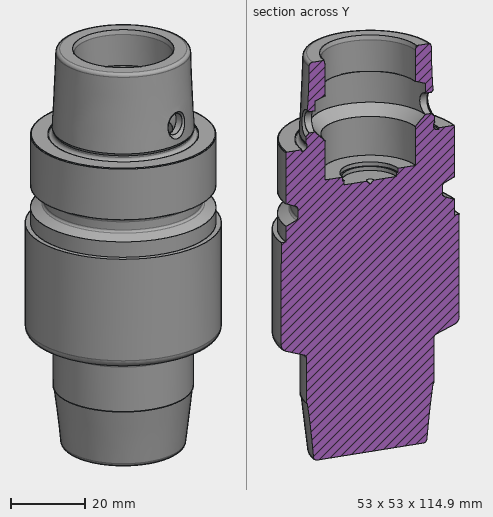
import cadquery as cq
import math

height = 114.9
nose_end_radius = 16.8
nose_radius = 19.0
body_diameter = 53.0
body_radius = body_diameter / 2
collar_radius = 25.0
groove_radius = 21.5
neck_radius = 18.8
taper_base_radius = 19.2
taper_tip_radius = 18.2

nose_cone_top = 17.0
shoulder_bottom = 30.6
body_top = 64.3
lower_collar_height = 4.5
groove_width = 6.4
collar_top = 90.2
neck_height = 1.8
taper_undercut = 0.7
taper_bottom = collar_top + neck_height

shoulder_angle = math.radians(20)
groove_angle = math.radians(23)

recess_radius = 20.3
recess_depth = 0.5
neck_fillet = 1.1

nose_round = 1.1
nose_step = 0.2
shoulder_round = 2.2
shoulder_fillet = 0.9
groove_fillet = 0.8
collar_chamfer = 0.2
tip_round = 1.0

bore_radius = 13.3
lead_in_width = 0.3
lead_in_depth = 1.3
bore_depth = 10.3
chamber_radius = 16.3
chamber_depth = 20.3
undercut_angle = math.radians(20)
chamber_floor_angle = math.radians(45)
floor_depth = 34.5

socket_radius = 8.2
socket_ledge_width = 0.5
socket_ledge_depth = 1.1
socket_depth = 2.3
centre_mark_radius = 1.0
centre_mark_depth = 1.0

tolerance = 0.001

cross_hole_radius = 3.0
cross_hole_depth = 17.2
cross_hole_chamfer = 0.8


def ring_edge(solid, radius, z):
    """Return the ring edge at height z that lies within the given radius."""
    return solid.edges(
        cq.selectors.BoxSelector(
            (-radius - tolerance, -radius - tolerance, z - tolerance),
            (radius + tolerance, radius + tolerance, z + tolerance),
            boundingbox=True,
        )
    )


def revolve(points):
    """Revolve an (r, z) outline about the Z axis."""
    return cq.Workplane("YZ").polyline(points).close().revolve(360, (0, 0, 0), (0, 1, 0))


def make_body():
    shoulder_top = shoulder_bottom + (body_radius - nose_radius) * math.tan(shoulder_angle)
    flank = (collar_radius - groove_radius) * math.tan(groove_angle)
    groove_bottom = body_top + lower_collar_height
    groove_top = groove_bottom + groove_width
    recess_floor = collar_top - recess_depth
    body = revolve([
        (0, 0),
        (nose_end_radius, 0),
        (nose_radius - nose_step, nose_cone_top - nose_step),
        (nose_radius, nose_cone_top),
        (nose_radius, shoulder_bottom),
        (body_radius, shoulder_top),
        (body_radius, body_top),
        (collar_radius, body_top),
        (collar_radius, groove_bottom),
        (groove_radius, groove_bottom + flank),
        (groove_radius, groove_top - flank),
        (collar_radius, groove_top),
        (collar_radius, collar_top - collar_chamfer),
        (collar_radius - collar_chamfer, collar_top),
        (recess_radius, collar_top),
        (recess_radius, recess_floor),
        (neck_radius, recess_floor),
        (neck_radius, taper_bottom - taper_undercut),
        (taper_base_radius, taper_bottom),
        (taper_tip_radius, height),
        (0, height),
    ])
    rounds = [
        (nose_end_radius, 0, nose_round),
        (nose_radius, shoulder_bottom, shoulder_fillet),
        (body_radius, shoulder_top, shoulder_round),
        (groove_radius, groove_bottom + flank, groove_fillet),
        (groove_radius, groove_top - flank, groove_fillet),
        (neck_radius, recess_floor, neck_fillet),
        (taper_tip_radius, height, tip_round),
    ]
    for radius, z, size in rounds:
        body = ring_edge(body, radius, z).fillet(size)
    return body


def make_cavity():
    bore_end = height - bore_depth
    widening = chamber_radius - bore_radius
    chamber_end = height - chamber_depth
    floor = height - floor_depth
    socket_floor = floor - socket_depth
    return revolve([
        (0, height),
        (bore_radius + lead_in_width, height),
        (bore_radius, height - lead_in_depth),
        (bore_radius, bore_end),
        (chamber_radius, bore_end - widening * math.tan(undercut_angle)),
        (chamber_radius, chamber_end),
        (bore_radius, chamber_end - widening * math.tan(chamber_floor_angle)),
        (bore_radius, floor),
        (socket_radius, floor),
        (socket_radius, floor - socket_ledge_depth),
        (socket_radius - socket_ledge_width, floor - socket_ledge_depth),
        (socket_radius - socket_ledge_width, socket_floor),
        (centre_mark_radius, socket_floor),
        (0, socket_floor - centre_mark_depth),
    ])


def make_cross_hole():
    z = height - cross_hole_depth
    taper_slope = (taper_base_radius - taper_tip_radius) / (height - taper_bottom)
    wall_radius = taper_tip_radius + taper_slope * cross_hole_depth
    flare_start = wall_radius - cross_hole_chamfer
    flare_end = wall_radius + cross_hole_chamfer
    flare_radius = cross_hole_radius + (flare_end - flare_start)
    outline = [
        (-flare_end, z),
        (-flare_end, z + flare_radius),
        (-flare_start, z + cross_hole_radius),
        (flare_start, z + cross_hole_radius),
        (flare_end, z + flare_radius),
        (flare_end, z),
    ]
    return cq.Workplane("XZ").polyline(outline).close().revolve(360, (0, z, 0), (1, z, 0))


result = make_body().cut(make_cavity()).cut(make_cross_hole())